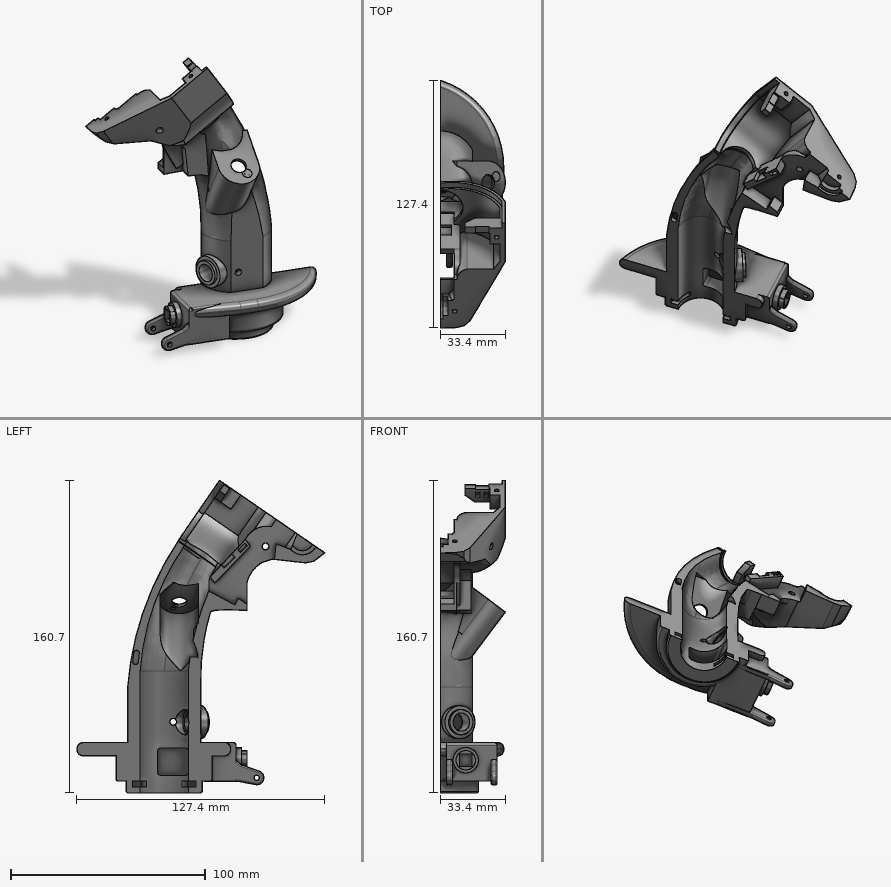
import cadquery as cq
import math


BORE_R = 12.4
TUBE_R = 18.8
TUBE_HALF_WIDTH = 16.5
TUBE_STRAIGHT = 54.6
BEND_START = 62.7
BEND_RADIUS = 104.5
TILT = 34.5

HEAD_BACK = 7.2
HEAD_BASE = 129.8
HEAD_HEIGHT = 37.5
HEAD_LENGTH = 65.7
HEAD_HALF_WIDTH = 33.4
HEAD_WALL = 2.9
HEAD_FLOOR = 2.5
SIDE_RISE = 18.5
RIM_STEP_LENGTH = 3.0
RIM_STEP_DEPTH = 1.1
CAVITY_LENGTH = 29.0

HOUSING_HALF_WIDTH = 15.7
SLOT_HALF_WIDTH = 7.0
CHEEK_HALF_WIDTH = 10.1
FRAME_HALF_WIDTH = 8.4
PIVOT_DIA = 3.4

RING_R = 19.6
COLLAR_R = 24.7
COLLAR_Z = 6.1
FLANGE_Z = 19.1
FLANGE_TOP = 26.0
FLANGE_BACK = 44.8
FLANGE_FRONT = 34.0
FLANGE_HALF_WIDTH = 32.6
FLANGE_ROUND = 3.2
BOX_INNER = 3.0
BOX_OUTER = 29.1
BOX_FRONT = 37.0
ARM_WIDTH = 3.0
BOSS_X = 13.0
BOSS_Z = 16.9
BOSS_DIA = 13.0
BOSS_TIP_DIA = 10.0
HINGE_DIA = 2.5
GROOVE_Z = 3.2
GROOVE_HEIGHT = 2.9
GROOVE_R = 16.4
GROOVE_ANGLE = 43

tilt = math.radians(TILT)
UP = (0, -math.sin(tilt), math.cos(tilt))
AHEAD = (0, -math.cos(tilt), -math.sin(tilt))


def head_point(x, ahead, up):
    """Point of the tilted head frame in part coordinates."""
    return (
        x,
        -HEAD_BACK + ahead * AHEAD[1] + up * UP[1],
        HEAD_BASE + ahead * AHEAD[2] + up * UP[2],
    )


def side_plane(x=0):
    """Sketch plane facing -X: first coordinate forward, second up; extrudes to -X."""
    return cq.Workplane(cq.Plane((x, 0, 0), xDir=(0, -1, 0), normal=(-1, 0, 0)))


def side_prism(points, x_from, x_to):
    return side_plane(x_from).polyline(points).close().extrude(x_from - x_to)


def side_cylinder(forward, height, diameter, x_from, x_to):
    return side_plane(x_from).center(forward, height).circle(diameter / 2).extrude(x_from - x_to)


def head_plan(up):
    """Sketch plane across the head: X and distance ahead; extrudes downwards."""
    down = tuple(-c for c in UP)
    return cq.Workplane(cq.Plane(head_point(0, 0, up), xDir=(1, 0, 0), normal=down))


def head_section(ahead):
    """Sketch plane facing along the head: X and distance up; extrudes ahead."""
    return cq.Workplane(cq.Plane(head_point(0, ahead, 0), xDir=(1, 0, 0), normal=AHEAD))


def block(x_from, x_to, back, front, bottom, top):
    """Box between two forward distances (back < front)."""
    return cq.Workplane("XY").box(x_to - x_from, front - back, top - bottom, centered=False).translate(
        (x_from, -front, bottom)
    )


def rod(start, direction, diameter, length):
    return cq.Workplane(cq.Solid.makeCylinder(diameter / 2, length, cq.Vector(*start), cq.Vector(*direction)))


def bend(radius, straight_height, middle, end):
    """Straight tube followed by a loft through a tilted middle and end section.

    Each section is (half width, half depth, offset ahead of the bend arc).
    """
    def station(angle, half_width, half_depth, offset):
        a = math.radians(angle)
        forward = BEND_RADIUS * (1 - math.cos(a)) + offset * math.cos(a)
        height = BEND_START + BEND_RADIUS * math.sin(a) - offset * math.sin(a)
        plane = cq.Plane((0, -forward, height), xDir=(1, 0, 0), normal=(0, -math.sin(a), math.cos(a)))
        return cq.Workplane(plane).ellipse(half_width, half_depth).wires().val()

    straight = cq.Workplane("XY").circle(radius).extrude(straight_height)
    start = cq.Workplane("XY", origin=(0, 0, straight_height)).circle(radius).wires().val()
    wires = [start, station(TILT / 2, *middle), station(TILT, *end)]
    return straight.union(cq.Workplane(cq.Solid.makeLoft(wires)))


def tube_body():
    round_tube = bend(TUBE_R, TUBE_STRAIGHT, (17.0, 16.5, 2.1), (16.4, 15.0, 1.3))
    return round_tube.intersect(block(-TUBE_HALF_WIDTH, TUBE_HALF_WIDTH, -80.3, 80.3, 0, 160.7))


def tube_bore():
    """Bent bore, carried on through the floor of the head."""
    mouth_width, mouth_depth = 11.5, 10.8
    bore = bend(BORE_R, BEND_START, (12.0, 12.0, 1.6), (mouth_width, mouth_depth, 1.3))
    plane = cq.Plane(head_point(0, 14.8, -1.6), xDir=(1, 0, 0), normal=UP)
    return bore.union(cq.Workplane(plane).ellipse(mouth_width, mouth_depth).extrude(6.5))


def head_envelope(half_width, floor, length, rise):
    """Open trough whose floor sweeps up into straight side walls."""
    return (
        head_section(0)
        .moveTo(0, floor)
        .threePointArc((half_width * 0.72, floor + rise * 0.3), (half_width, floor + rise))
        .lineTo(half_width, HEAD_HEIGHT)
        .lineTo(0, HEAD_HEIGHT)
        .close()
        .extrude(length)
    )


def head_solid():
    trough = head_envelope(HEAD_HALF_WIDTH, 0, HEAD_LENGTH, SIDE_RISE)
    outline = [
        (0, 0), (HEAD_HALF_WIDTH, 0), (HEAD_HALF_WIDTH, 24.1),
        (15.3, 61), (12.0, 64.3), (8, 65.4), (0, HEAD_LENGTH),
    ]
    plan = (
        head_plan(HEAD_HEIGHT)
        .polyline(outline)
        .close()
        .extrude(2 * HEAD_HEIGHT)
    )
    tip = head_point(0, 0, HEAD_HEIGHT)
    nose = head_point(0, HEAD_LENGTH, HEAD_HEIGHT)
    silhouette = side_prism(
        [
            (HEAD_BACK, HEAD_BASE),
            (-tip[1], tip[2]),
            (-nose[1], nose[2]),
            (76.8, 119.0),
            (72.6, 118.3),
            (55.6, 120.2),
            (46.6, 117.3),
            (31.7, 112.8),
        ],
        0,
        HEAD_HALF_WIDTH,
    )
    rounded_belly = (
        cq.Workplane("XZ", origin=(0, 96.4, 0))
        .moveTo(0, 110.9)
        .lineTo(HOUSING_HALF_WIDTH, 113.0)
        .threePointArc((28.5, 119.5), (HEAD_HALF_WIDTH, 128.0))
        .lineTo(HEAD_HALF_WIDTH, 162.3)
        .lineTo(0, 162.3)
        .close()
        .extrude(192.8)
    )
    return trough.intersect(plan).intersect(silhouette).intersect(rounded_belly)


def head_cavity():
    """Hollow of the head, open at the back and narrowing into the trigger slot."""
    width = HEAD_HALF_WIDTH - HEAD_WALL
    rise = SIDE_RISE - 1.6
    flare_end = CAVITY_LENGTH + 6.5
    plan = (
        head_plan(HEAD_HEIGHT)
        .polyline([(0, 0), (width, 0), (width, CAVITY_LENGTH - 4.8), (width - 3.2, CAVITY_LENGTH)])
        .lineTo(13.7, CAVITY_LENGTH)
        .threePointArc((10.1, CAVITY_LENGTH + 2.1), (8.5, flare_end))
        .lineTo(0, flare_end)
        .close()
        .extrude(2 * HEAD_HEIGHT)
    )
    hollow = head_envelope(width, HEAD_FLOOR, flare_end, rise).intersect(plan)
    rim_step = head_envelope(
        width + RIM_STEP_DEPTH, HEAD_FLOOR - RIM_STEP_DEPTH, RIM_STEP_LENGTH, rise
    )
    return hollow.union(rim_step)


def head_screw_holes():
    return head_plan(HEAD_HEIGHT).pushPoints([(29, 9.0), (7.4, 55.1)]).circle(1.1).extrude(8)


def housing_block():
    """Housing below the head: a narrow front frame and a wider shell behind it."""
    frame = (
        side_plane()
        .moveTo(20.9, 91.6)
        .threePointArc((24.9, 93.5), (28.3, 94.3))
        .lineTo(42.5, 93.8)
        .lineTo(42.5, 108.0)
        .threePointArc((47.2, 116.2), (55.6, 120.2))
        .lineTo(54.6, 128.5)
        .lineTo(22.5, 115.7)
        .close()
        .extrude(-FRAME_HALF_WIDTH)
    )
    shell = side_prism(
        [(20.9, 92.4), (24.9, 93.8), (32.1, 94.2), (33.7, 109.3), (38.5, 114.9), (43.4, 125.3), (22.5, 115.7)],
        0,
        HOUSING_HALF_WIDTH,
    )
    return frame.union(shell)


def cheek():
    """Side plate of the trigger slot, rounded on top."""
    return (
        side_plane(SLOT_HALF_WIDTH)
        .moveTo(23.0, 103.8)
        .lineTo(36.3, 96.7)
        .lineTo(42.5, 108.0)
        .threePointArc((47.2, 116.2), (55.6, 120.2))
        .lineTo(60.0, 134.6)
        .threePointArc((51.3, 137.0), (41.8, 130.5))
        .lineTo(23.6, 111.0)
        .close()
        .extrude(SLOT_HALF_WIDTH - CHEEK_HALF_WIDTH)
    )


def trigger_slot():
    slot = side_prism(
        [
            (23.0, 103.8), (36.3, 96.7), (38.0, 100.1), (44.2, 96.1), (44.2, 106), (56.5, 118.9),
            (57.5, 128.0), (65.0, 125.2), (69.1, 135), (64.3, 144.6), (48.2, 152.6), (23.0, 112.5),
        ],
        0,
        SLOT_HALF_WIDTH,
    )
    neck = (
        head_plan(HEAD_HEIGHT)
        .polyline([(0, -32.1), (8, -32.1), (7.2, 47.0), (2.4, 52.4), (0, 54.6)])
        .close()
        .extrude(3 * HEAD_HEIGHT)
    )
    slot = slot.intersect(neck)
    scoop = side_cylinder(71.0, 130.1, 11.2, 0, 4.0).union(side_cylinder(71.0, 130.1, 15.5, 0, 1.5))
    return slot.union(scoop)


def slot_back_wall():
    """Ladder-like strip that closes the slot towards the cavity."""
    strip = side_prism([(23.6, 111.0), (26.0, 108.0), (44.2, 126.8), (41.8, 130.5)], 0, CHEEK_HALF_WIDTH)
    lower_window = side_prism([(28.0, 118.9), (30.8, 115.7), (36.3, 121.1), (33.4, 124.4)], 0, 5.6)
    upper_window = side_prism([(37.9, 125.0), (39.2, 123.7), (42.7, 127.1), (41.5, 128.4)], 0, 5.6)
    return strip.cut(lower_window).cut(upper_window)


CLIP_BOTTOM = 28.6
CLIP_OUTER = 31.3
CLIP_BAR_LENGTH = 3.7
CLIP_POST_LENGTH = 10.1


def clip_bar():
    """Bar across the open end of the head with a chamfered free end and a corner post."""
    inner, bar_top, notch = 12.5, 37.0, 36.3
    bar = (
        head_section(RIM_STEP_LENGTH)
        .polyline([(inner, bar_top), (inner, 33.0), (17.7, CLIP_BOTTOM), (CLIP_OUTER, CLIP_BOTTOM)])
        .lineTo(CLIP_OUTER, HEAD_HEIGHT)
        .lineTo(24.9, HEAD_HEIGHT)
        .lineTo(24.9, notch)
        .lineTo(18.2, notch)
        .lineTo(18.2, bar_top)
        .close()
        .extrude(CLIP_BAR_LENGTH)
    )
    sockets = (
        head_section(RIM_STEP_LENGTH + CLIP_BAR_LENGTH / 2)
        .pushPoints([(19.3, 33.1), (23.5, 33.1)])
        .rect(2.2, 2.9)
        .extrude(CLIP_BAR_LENGTH)
    )
    post = (
        head_section(RIM_STEP_LENGTH)
        .moveTo(25.4, CLIP_BOTTOM)
        .lineTo(CLIP_OUTER, CLIP_BOTTOM)
        .lineTo(CLIP_OUTER, HEAD_HEIGHT)
        .lineTo(25.4, HEAD_HEIGHT)
        .close()
        .extrude(CLIP_POST_LENGTH)
    )
    return bar.cut(sockets).union(post)


BRANCH_TIP = (24.6, -7.7, 99.6)
BRANCH_DIR = (0.6, 0, 0.8)
BRANCH_SIDE = (-0.8, 0, 0.6)
BRANCH_DIA = 22.0
BRANCH_BORE = 19.6
BRANCH_CAP = 2.0
BRANCH_LENGTH = 38.5
BRIDGE_LENGTH = 22.5
BRIDGE_REACH = 16.9


def along_branch(distance):
    return tuple(p - d * distance for p, d in zip(BRANCH_TIP, BRANCH_DIR))


def branch_body(diameter, start, end, web):
    """Cylinder along the branch whose upper side runs on into the tube as a parallel-sided web."""
    cylinder = rod(along_branch(start), BRANCH_DIR, diameter, start - end)
    plane = cq.Plane(along_branch(end), xDir=BRANCH_SIDE, normal=BRANCH_DIR)
    bridge = cq.Workplane(plane).center(web / 2, 0).rect(web, diameter).extrude(-BRIDGE_LENGTH)
    return cylinder.union(bridge)


def branch_cuts():
    """Blind branch bore, the hole in its cap and a counterbored screw hole beside it."""
    bore = branch_body(BRANCH_BORE, BRANCH_LENGTH, BRANCH_CAP, BRIDGE_REACH)
    hole = rod(along_branch(4.8), BRANCH_DIR, 8, 8)
    inward = tuple(-d for d in BRANCH_DIR)
    screw_top = (28.6, -4.7, 96.5)
    screw = rod(screw_top, inward, 5.1, 0.6).union(rod(screw_top, inward, 2.5, 2.4))
    return bore.union(hole).union(screw)


PORT_ANGLE = math.radians(25)
PORT_DIR = (math.sin(PORT_ANGLE), -math.cos(PORT_ANGLE), 0)
PORT_START = (3.9, -5.6, 36.5)
PORT_DIA = 17.0
PORT_LIP_DIA = 13.0
PORT_BORE = 9.3


def port_body():
    return rod(PORT_START, PORT_DIR, PORT_DIA, 14.8).union(rod(PORT_START, PORT_DIR, PORT_LIP_DIA, 16.4))


def port_bore():
    """Through bore with a wider inner end that opens into the grip tube."""
    return rod(PORT_START, PORT_DIR, PORT_BORE, 19.3).union(rod(PORT_START, PORT_DIR, PORT_LIP_DIA, 7.4))


def flange():
    """Guard plate: an off-centre disc behind the bore and a straight plate ahead of it."""
    thickness = FLANGE_TOP - FLANGE_Z
    disc_offset = (FLANGE_BACK**2 - FLANGE_HALF_WIDTH**2) / (2 * FLANGE_HALF_WIDTH)
    disc = (
        cq.Workplane("XY", origin=(-disc_offset, 0, FLANGE_Z))
        .circle(FLANGE_HALF_WIDTH + disc_offset)
        .extrude(thickness)
        .edges()
        .fillet(FLANGE_ROUND)
    )
    rear = disc.intersect(block(0, 48.2, -48.2, 0, 0, 48.2))
    front = (
        cq.Workplane("XY", origin=(0, 0, FLANGE_Z))
        .polyline([(0, 0), (FLANGE_HALF_WIDTH, 0), (FLANGE_HALF_WIDTH, -9.6), (BOX_OUTER, -FLANGE_FRONT)])
        .lineTo(0, -FLANGE_FRONT)
        .close()
        .extrude(thickness)
        .faces("|Z")
        .edges("not (>Y or <X)")
        .fillet(FLANGE_ROUND)
    )
    return rear.union(front)


def arm(x_from):
    return (
        side_plane(x_from)
        .moveTo(19.3, COLLAR_Z)
        .lineTo(38.5, 6.0)
        .lineTo(46.9, 4.3)
        .threePointArc((51.3, 7.7), (49.0, 11.2))
        .lineTo(39.8, 14.5)
        .threePointArc((37.3, 16.9), (36.0, 20.1))
        .lineTo(35.3, FLANGE_TOP)
        .lineTo(19.3, FLANGE_TOP)
        .close()
        .extrude(-ARM_WIDTH)
        .faces("|X")
        .edges()
        .fillet(0.8)
    )


def ring_and_collar():
    ring = cq.Workplane("XY").circle(RING_R).extrude(COLLAR_Z).faces("<Z").edges().chamfer(0.8)
    collar = (
        cq.Workplane("XY", origin=(0, 0, COLLAR_Z))
        .circle(COLLAR_R)
        .extrude(FLANGE_Z - COLLAR_Z)
        .faces("<Z")
        .edges()
        .fillet(1.3)
    )
    return ring.union(collar)


def front_box():
    """Box ahead of the collar with two hinge arms and a stepped round boss."""
    box = block(BOX_INNER, BOX_OUTER, 14.5, BOX_FRONT, COLLAR_Z, FLANGE_TOP)
    box = box.edges(">Z and (<Y or >X)").fillet(1.5)
    for x_from in (BOX_INNER, BOX_OUTER - ARM_WIDTH):
        box = box.union(arm(x_from))
    boss = (
        cq.Workplane("XZ", origin=(BOSS_X, -BOX_FRONT, BOSS_Z))
        .circle(BOSS_DIA / 2)
        .extrude(2.9)
        .faces("<Y")
        .workplane()
        .circle(BOSS_TIP_DIA / 2)
        .extrude(2.7)
    )
    return box.union(boss)


def box_cuts():
    """Square socket in the boss, window between bore and box, hinge pin holes."""
    socket = cq.Workplane("XZ", origin=(BOSS_X, 2.4 - BOX_FRONT, BOSS_Z)).rect(6.5, 6.5).extrude(9.6)
    window = block(0, 19.3, -3.4, BORE_R + 0.2, 9.2, 23.1).edges("|X").fillet(1.6)
    hinge_pin = side_cylinder(47.5, 7.9, HINGE_DIA, 0, BOX_OUTER)
    return socket.union(window).union(hinge_pin)


def key_groove():
    """Ring groove in the bore wall, reaching by an angle from the split plane at both ends."""
    ring = (
        cq.Workplane("XY", origin=(0, 0, GROOVE_Z))
        .circle(GROOVE_R)
        .circle(BORE_R - 1.6)
        .extrude(GROOVE_HEIGHT)
    )
    angle = math.radians(GROOVE_ANGLE)
    reach = 2 * GROOVE_R
    corner = (reach * math.sin(angle), reach * math.cos(angle))
    sector = cq.Workplane("XY").polyline([(0, 0), (0, reach), corner]).close().extrude(FLANGE_Z)
    return ring.intersect(sector.union(sector.mirror("XZ")))


def locating_slot():
    """Shallow slot in the split face behind the bore."""
    return side_plane().center(-14.5, 69.7).transformed(rotate=(0, 0, -7)).slot2D(7.4, 2.9, 90).extrude(-2.4)


right_half = block(0, 48.2, -96.4, 96.4, 0, 176.7)
trigger_pivot = side_cylinder(52.0, 126.8, PIVOT_DIA, 0, HEAD_HALF_WIDTH)
tube_pin_hole = side_cylinder(4.7, 36.6, PIVOT_DIA, 0, COLLAR_R)

outside = tube_body().union(housing_block()).union(head_solid())
outside = outside.union(branch_body(BRANCH_DIA, BRANCH_LENGTH, 0, BRIDGE_REACH + 3.2))
outside = outside.cut(head_cavity())
outside = outside.union(port_body()).union(flange()).union(ring_and_collar()).union(front_box())

hollow = outside.intersect(right_half).cut(tube_bore()).cut(branch_cuts()).cut(port_bore())
hollow = hollow.union(cheek()).cut(trigger_slot())
hollow = hollow.union(slot_back_wall()).union(clip_bar())

result = hollow.cut(key_groove()).cut(box_cuts()).cut(locating_slot())
result = result.cut(head_screw_holes()).cut(trigger_pivot).cut(tube_pin_hole)